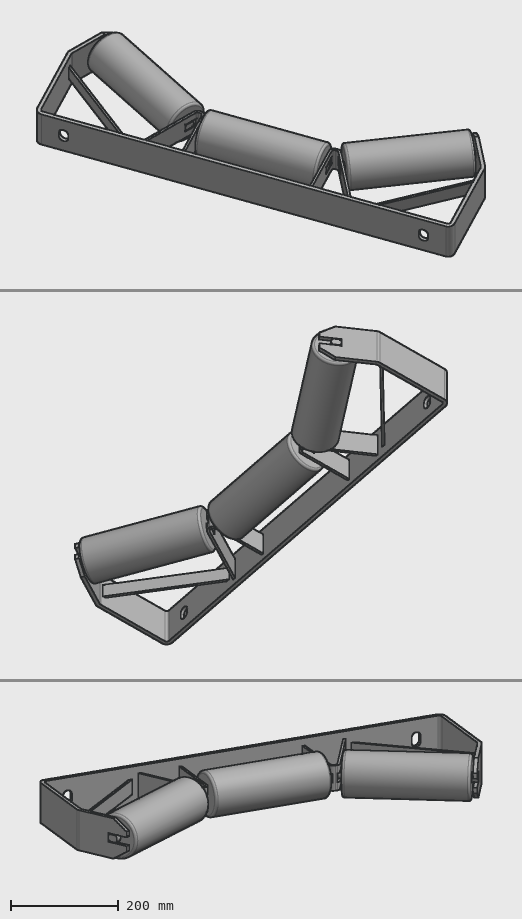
import cadquery as cq
import math

LENGTH = 830.0
LEAN = 30.0

FRAME_THICKNESS = 8.0
FRAME_WIDTH = 80.0
FRAME_BEND_RADIUS = 9.0
ARM_BEND_HEIGHT = 169.0
ARM_LENGTH = 109.5
ARM_BEVEL_LENGTH = 30.0
ARM_BEVEL_DEPTH = 20.0

HOLE_LENGTH = 28.0
HOLE_WIDTH = 18.0
HOLE_SPACING = 715.5

ROLLER_DIAMETER = 89.0
ROLLER_LENGTH = 240.0
ROLLER_ROUNDING = 5.0
SHAFT_DIAMETER = 20.0
SHAFT_FLATS = 14.0
SLOT_WIDTH = 17.5
END_GAP = 4.0
MIDDLE_AXIS_HEIGHT = 101.0
ARM_TO_SHAFT = 78.0

PLATE_THICKNESS = 5.0
BRACKET_WIDTH = 50.0
BRACKET_HEIGHT = 129.0
BRACKET_BEND_RADIUS = 7.5
BRACE_WIDTH = 30.0
BRACE_ANGLE = 40.0
BRACE_WALL_HEIGHT = 158.0

lean = math.radians(LEAN)
along_arm = cq.Vector(math.sin(lean), math.cos(lean))
roller_axis = cq.Vector(math.cos(lean), -math.sin(lean))
wall_x = -(LENGTH - FRAME_THICKNESS) / 2
wall_inside_x = wall_x + FRAME_THICKNESS / 2
base_y = FRAME_THICKNESS / 2
arm_bend = cq.Vector(wall_x, ARM_BEND_HEIGHT)
plate_face = ROLLER_LENGTH / 2 + END_GAP
frame_reach = plate_face + FRAME_THICKNESS / 2
bracket_reach = plate_face + PLATE_THICKNESS / 2
side_center = arm_bend + along_arm * ARM_TO_SHAFT + roller_axis * frame_reach
middle_center = cq.Vector(0, MIDDLE_AXIS_HEIGHT)


def mirrored(point):
    """The matching point on the right (+X) half."""
    return cq.Vector(-point.x, point.y)


def bent_strip(points, bend_radius, thickness, width):
    """Strip whose middle line follows the points, with rounded bends."""
    path = cq.Wire.makePolygon(points)
    if len(points) > 2:
        path = path.fillet(bend_radius, path.Vertices()[1:-1])
    start = cq.Plane(points[0], xDir=(0, 0, 1), normal=points[1] - points[0])
    return cq.Workplane(start).rect(width, thickness).sweep(cq.Workplane(path))


def placed(body, center, angle):
    """Move a body built about the origin, with its axis on X, to a roller's place."""
    return body.rotate((0, 0, 0), (0, 0, 1), angle).translate(center)


def roller(left_plate, right_plate):
    """Drum and shaft along X; the shaft ends are flatted where they sit in the two plates."""
    drum = (
        cq.Workplane("YZ", origin=(-ROLLER_LENGTH / 2, 0, 0))
        .circle(ROLLER_DIAMETER / 2)
        .extrude(ROLLER_LENGTH)
        .edges()
        .fillet(ROLLER_ROUNDING)
    )
    shaft = (
        cq.Workplane("YZ", origin=(-plate_face - left_plate, 0, 0))
        .circle(SHAFT_DIAMETER / 2)
        .extrude(left_plate + 2 * plate_face + right_plate)
    )
    flatted = cq.Workplane("XY").box(LENGTH, SHAFT_DIAMETER, SHAFT_FLATS)
    full_round = cq.Workplane("XY").box(2 * plate_face, SHAFT_DIAMETER, SHAFT_DIAMETER)
    return drum.union(shaft.intersect(flatted.union(full_round)))


def shaft_slots(left_plate, right_plate):
    """Cutter for the open slots, square at the bottom, that hold the two ends of a shaft."""
    length = left_plate + 2 * plate_face + right_plate
    slot = cq.Workplane("XY").box(length, ARM_LENGTH, SLOT_WIDTH, centered=(False, False, True))
    return slot.translate((-plate_face - left_plate, -SHAFT_DIAMETER / 2, 0))


inside_frame = (
    cq.Workplane("XY")
    .box(-2 * wall_inside_x, LENGTH, FRAME_WIDTH, centered=(True, False, True))
    .translate((0, FRAME_THICKNESS, 0))
)

ROLLER_PLACES = [
    (side_center, -LEAN, FRAME_THICKNESS, PLATE_THICKNESS),
    (middle_center, 0.0, PLATE_THICKNESS, PLATE_THICKNESS),
    (mirrored(side_center), LEAN, PLATE_THICKNESS, FRAME_THICKNESS),
]


def cut_shaft_slots(body):
    """Open a body for the shaft ends of all three rollers."""
    for center, angle, left_plate, right_plate in ROLLER_PLACES:
        body = body.cut(placed(shaft_slots(left_plate, right_plate), center, angle))
    return body


def arm_bevel():
    """Cutter for the upper free corner of the left arm."""
    half_width = FRAME_WIDTH / 2
    end_half = half_width - ARM_BEVEL_DEPTH
    bevel_start = ARM_LENGTH - ARM_BEVEL_LENGTH
    plane = cq.Plane(arm_bend, xDir=along_arm, normal=roller_axis)
    corners = [(bevel_start, half_width), (ARM_LENGTH, half_width), (ARM_LENGTH, end_half)]
    return cq.Workplane(plane).polyline(corners).close().extrude(FRAME_THICKNESS, both=True)


def make_frame():
    """Base, upright walls and leaning arms in one bent strip, with mounting holes and shaft slots."""
    left_half = [arm_bend + along_arm * ARM_LENGTH, arm_bend, cq.Vector(wall_x, base_y)]
    path = left_half + [mirrored(point) for point in reversed(left_half)]
    frame = bent_strip(path, FRAME_BEND_RADIUS, FRAME_THICKNESS, FRAME_WIDTH)
    left_bevels = arm_bevel().union(arm_bevel().mirror("XY"))
    frame = frame.cut(left_bevels).cut(left_bevels.mirror("YZ"))
    holes = (
        cq.Workplane("XZ")
        .pushPoints([(-HOLE_SPACING / 2, 0), (HOLE_SPACING / 2, 0)])
        .slot2D(HOLE_LENGTH, HOLE_WIDTH, 90)
        .extrude(-FRAME_THICKNESS)
    )
    return cut_shaft_slots(frame.cut(holes))


def make_bracket():
    """Left inner bracket: a leaning leg, a short flat top and an upright leg."""
    leg_point = side_center + roller_axis * bracket_reach
    top_y = BRACKET_HEIGHT - PLATE_THICKNESS / 2

    def leaning_leg(height):
        return cq.Vector(leg_point.x + (height - leg_point.y) * math.tan(lean), height)

    path = [
        leaning_leg(0),
        leaning_leg(top_y),
        cq.Vector(-bracket_reach, top_y),
        cq.Vector(-bracket_reach, 0),
    ]
    bracket = bent_strip(path, BRACKET_BEND_RADIUS, PLATE_THICKNESS, BRACKET_WIDTH)
    return cut_shaft_slots(bracket.intersect(inside_frame))


def make_brace():
    """Left diagonal brace, run into the wall and the base and then trimmed against them."""
    slope = math.tan(math.radians(BRACE_ANGLE))
    top = cq.Vector(wall_x, BRACE_WALL_HEIGHT + slope * FRAME_THICKNESS / 2)
    bottom = cq.Vector(wall_x + top.y / slope, 0)
    return bent_strip([top, bottom], 0, PLATE_THICKNESS, BRACE_WIDTH).intersect(inside_frame)


frame = make_frame()
bracket = make_bracket()
brackets = [bracket, bracket.mirror("YZ")]
brace = make_brace()
braces = [brace, brace.mirror("YZ")]
rollers = [placed(roller(left, right), center, angle) for center, angle, left, right in ROLLER_PLACES]

result = cq.Compound.makeCompound([body.val() for body in [frame, *brackets, *braces, *rollers]])